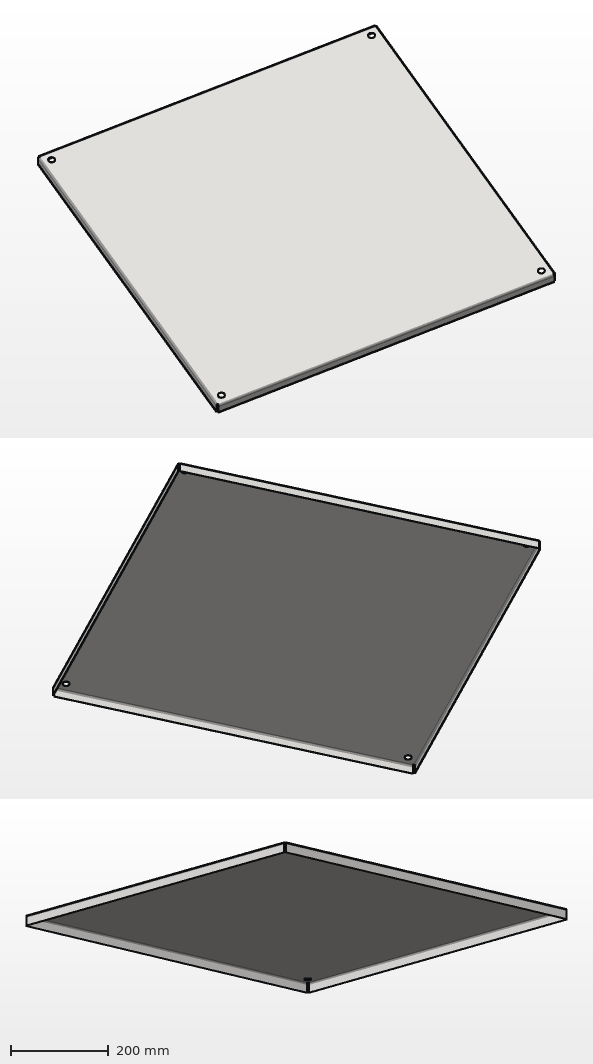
import cadquery as cq

length = 787.5
width = 784.0
height = 22.0
sheet = 1.5
bend_radius = 3.0
corner_relief = 4.0

hole_diameter = 14.0
hole_spacing_x = 742.0
hole_spacing_y = 740.0


def rounded_block(size_x, size_y, size_z, radius):
    """Block standing on Z = 0 with its four top edges rounded."""
    block = cq.Workplane("XY").box(size_x, size_y, size_z, centered=(True, True, False))
    return block.faces(">Z").edges().fillet(radius)


outside = rounded_block(length, width, height, bend_radius)
inside = rounded_block(
    length - 2 * sheet,
    width - 2 * sheet,
    height - sheet,
    bend_radius - sheet,
)
tray = outside.cut(inside)

reliefs = (
    cq.Workplane("XY")
    .rect(length - corner_relief, width - corner_relief, forConstruction=True)
    .vertices()
    .rect(corner_relief, corner_relief)
    .extrude(height)
)

holes = (
    cq.Workplane("XY")
    .rect(hole_spacing_x, hole_spacing_y, forConstruction=True)
    .vertices()
    .circle(hole_diameter / 2)
    .extrude(height)
)

result = tray.cut(reliefs).cut(holes)